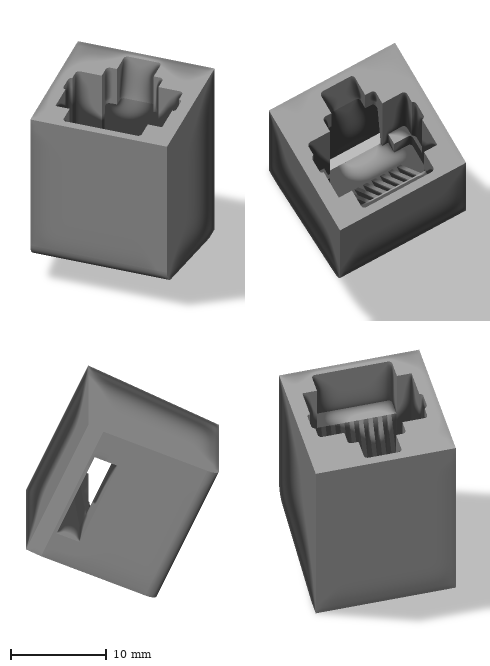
import cadquery as cq
import math

WIDTH = 15.2
DEPTH = 15.19
HEIGHT = 20.6
HALF_DEPTH = DEPTH / 2

SLOPE_START_Y = 5.85
SLOPE_ANGLE = 13.0
FRONT_EDGE_RADIUS = 1.7

CAVITY_HALF_WIDTH = 5.93
CAVITY_BACK_Y = 2.43
CAVITY_FRONT_Y = -4.385
CAVITY_FLOOR_Z = 6.0
LEDGE_Z = 9.0
SHOULDER_Y = 1.17
SHOULDER_HALF_WIDTH = 3.86
CORNER_RADIUS = 0.4

GROOVE_HALF_SPAN = 6.27
GROOVE_FRONT_Y = -1.16
GROOVE_BACK_Y = 1.06
GROOVE_FRONT_RADIUS = 0.3
GROOVE_BACK_RADIUS = 0.5

BAY_HALF_WIDTH = 4.34
BAY_FRONT_Y = -6.71
BAY_STEP_Y = -4.64
CONTACT_COUNT = 8
CONTACT_PITCH = 1.02
CONTACT_WIDTH = 0.48
CONTACT_START_Y = -0.33
CONTACT_ANGLE = 64.0
BAY_FLOOR_Z = CAVITY_FLOOR_Z + (CONTACT_START_Y - BAY_STEP_Y) * math.tan(math.radians(CONTACT_ANGLE))

WIDE_SLOT_HALF_WIDTH = 3.15
WIDE_SLOT_BACK_Y = 4.11
NARROW_SLOT_HALF_WIDTH = 2.04
NARROW_SLOT_BACK_Y = 6.66

WINDOW_WIDTH = 9.3
WINDOW_BACK_Y = 5.45
WINDOW_TOP_Z = 16.06
WINDOW_FRONT_TOP_Y = 3.45
WINDOW_FRONT_BOTTOM_Y = 2.76


def block(half_width, front_y, back_y, bottom_z, top_z=HEIGHT):
    """Box centred on X between the given Y and Z limits."""
    size = (2 * half_width, back_y - front_y, top_z - bottom_z)
    return cq.Workplane("XY").box(*size, centered=(True, False, False)).translate((0, front_y, bottom_z))


def side_profile(points, width):
    """Solid with the given (Y, Z) outline, centred on X."""
    return cq.Workplane("YZ").polyline(points).close().extrude(width / 2, both=True)


def make_housing():
    slope_front_z = (SLOPE_START_Y + HALF_DEPTH) * math.tan(math.radians(SLOPE_ANGLE))
    outline = [
        (HALF_DEPTH, 0),
        (HALF_DEPTH, HEIGHT),
        (-HALF_DEPTH, HEIGHT),
        (-HALF_DEPTH, slope_front_z),
        (SLOPE_START_Y, 0),
    ]
    housing = side_profile(outline, WIDTH)
    return housing.faces("<Y").edges("<Z").fillet(FRONT_EDGE_RADIUS)


def make_cavity():
    upper = block(CAVITY_HALF_WIDTH, CAVITY_FRONT_Y, CAVITY_BACK_Y, LEDGE_Z)
    upper = upper.edges("|Z and >Y").fillet(CORNER_RADIUS)
    lower = block(CAVITY_HALF_WIDTH, CAVITY_FRONT_Y, SHOULDER_Y, CAVITY_FLOOR_Z, LEDGE_Z)
    lower = lower.edges("|Z and >Y").fillet(CORNER_RADIUS)
    middle = block(SHOULDER_HALF_WIDTH, CAVITY_FRONT_Y, CAVITY_BACK_Y, CAVITY_FLOOR_Z)
    grooves = block(GROOVE_HALF_SPAN, GROOVE_FRONT_Y, GROOVE_BACK_Y, LEDGE_Z)
    grooves = grooves.edges("|Z and <Y").fillet(GROOVE_FRONT_RADIUS)
    grooves = grooves.edges("|Z and >Y").fillet(GROOVE_BACK_RADIUS)
    return upper.union(lower).union(middle).union(grooves)


def make_contact_bay():
    bay = block(BAY_HALF_WIDTH, BAY_FRONT_Y, BAY_STEP_Y, BAY_FLOOR_Z)
    bay = bay.edges("|Z and <Y").fillet(CORNER_RADIUS)
    throat = block(BAY_HALF_WIDTH, BAY_STEP_Y, CAVITY_FRONT_Y, CAVITY_FLOOR_Z)
    return bay.union(throat)


def add_contact_ramps(body):
    ramp_outline = [
        (CONTACT_START_Y, CAVITY_FLOOR_Z),
        (BAY_STEP_Y, BAY_FLOOR_Z),
        (BAY_STEP_Y, CAVITY_FLOOR_Z),
    ]
    ramp = side_profile(ramp_outline, CONTACT_WIDTH)
    for index in range(CONTACT_COUNT):
        x = (index - (CONTACT_COUNT - 1) / 2) * CONTACT_PITCH
        body = body.union(ramp.translate((x, 0, 0)))
    return body


def make_latch_slots():
    wide = block(WIDE_SLOT_HALF_WIDTH, SHOULDER_Y, WIDE_SLOT_BACK_Y, CAVITY_FLOOR_Z)
    wide = wide.edges("|Z and >Y").fillet(CORNER_RADIUS)
    narrow_outline = [
        (SHOULDER_Y, WINDOW_TOP_Z),
        (SHOULDER_Y, HEIGHT),
        (NARROW_SLOT_BACK_Y, HEIGHT),
        (WINDOW_BACK_Y, WINDOW_TOP_Z),
    ]
    narrow = side_profile(narrow_outline, 2 * NARROW_SLOT_HALF_WIDTH)
    narrow = narrow.edges("not(|X or |Y or |Z)").fillet(CORNER_RADIUS)
    return wide.union(narrow)


def make_window():
    outline = [
        (WINDOW_FRONT_BOTTOM_Y, 0),
        (WINDOW_FRONT_BOTTOM_Y, CAVITY_FLOOR_Z),
        (WINDOW_FRONT_TOP_Y, WINDOW_TOP_Z),
        (WINDOW_BACK_Y, WINDOW_TOP_Z),
        (WINDOW_BACK_Y, 0),
    ]
    return side_profile(outline, WINDOW_WIDTH)


body = make_housing()
for void in (make_cavity(), make_contact_bay(), make_latch_slots(), make_window()):
    body = body.cut(void)
result = add_contact_ramps(body)